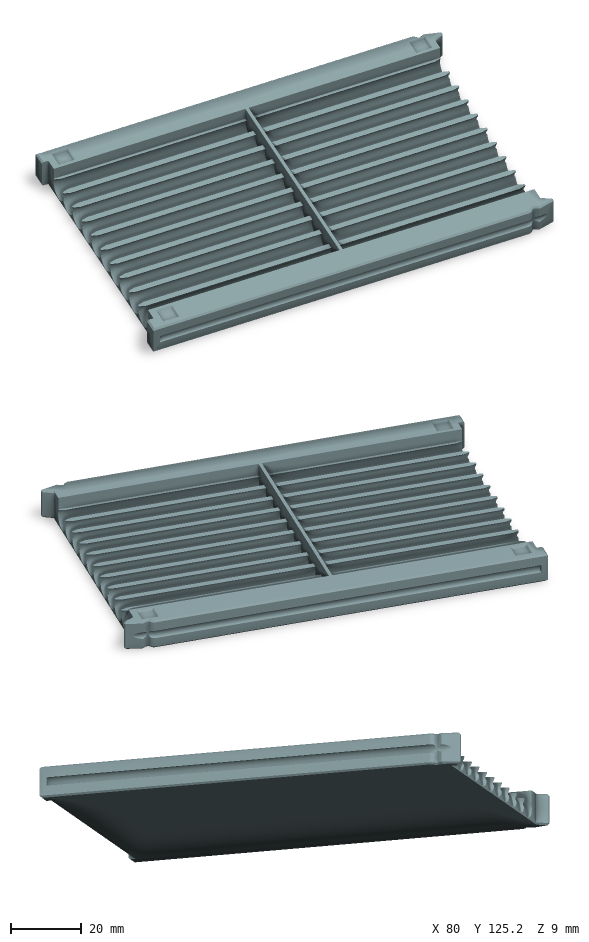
import cadquery as cq
import math

width = 80.0
plate_length = 120.0
height = 9.0
half_width = width / 2
half_height = height / 2

trough_count = 10
trough_pitch = 6.4
trough_radius = 2.8
flare_radius = 3.3
flare_length = 2.0
trough_axis_z = 3.6
ridge_top_z = 5.2
bed_width = trough_count * trough_pitch
divider_thickness = 1.0

lug_length = 2.0
lug_inner_x = 35.7
tip_length = 3.22
tip_outer_x = 38.2
tip_inner_x = 37.2
tip_base_x = 35.5
tip_round = 0.55
barb_x = 39.5
barb_y = 118.2
notch_x = 38.6
notch_y = 116.3
notch_round = 0.5
shoulder_y = 114.6
edge_chamfer = 0.5

groove_radius = 1.2

pocket_size = 5.0
pocket_depth = 0.5
pocket_floor_size = 4.0
pocket_x = 35.5
pocket_end_distance = 4.5


def make_rail():
    """Right-hand rail: lug in front, barbed snap tip behind, chamfered outer edges."""
    bed_edge = bed_width / 2
    tip_y = plate_length + tip_length
    notch_depth = half_width - notch_x
    notch_rise = notch_y - shoulder_y
    shoulder_radius = (notch_depth**2 + notch_rise**2) / (2 * notch_depth)
    sweep_mid = math.asin(notch_rise / shoulder_radius) / 2
    arc_mid = (
        half_width - shoulder_radius * (1 - math.cos(sweep_mid)),
        shoulder_y + shoulder_radius * math.sin(sweep_mid),
    )
    rail = (
        cq.Workplane("XY")
        .moveTo(bed_edge, 0)
        .lineTo(lug_inner_x, 0)
        .lineTo(lug_inner_x, -lug_length)
        .lineTo(half_width, -lug_length)
        .lineTo(half_width, shoulder_y)
        .threePointArc(arc_mid, (notch_x, notch_y))
        .lineTo(barb_x, barb_y)
        .lineTo(tip_outer_x, tip_y)
        .lineTo(tip_inner_x, tip_y)
        .lineTo(tip_base_x, plate_length)
        .lineTo(bed_edge, plate_length)
        .close()
        .extrude(height)
    )
    notch_corner = cq.selectors.NearestToPointSelector((notch_x, notch_y, half_height))
    rail = rail.edges("|Z").edges(notch_corner).fillet(notch_round)
    for tip_x in (tip_outer_x, tip_inner_x):
        tip_corner = cq.selectors.NearestToPointSelector((tip_x, tip_y, half_height))
        rail = rail.edges("|Z").edges(tip_corner).fillet(tip_round)
    outer_edges = cq.selectors.BoxSelector(
        (lug_inner_x + edge_chamfer / 2, -height, -height),
        (width, plate_length + height, 2 * height),
    )
    rail = rail.faces("<Z or >Z").edges(outer_edges).chamfer(edge_chamfer)
    groove = (
        cq.Workplane("XZ")
        .center(half_width, half_height)
        .circle(groove_radius)
        .extrude(-tip_y)
    )
    return rail.cut(groove)


def make_trough(center_x):
    """Cutter for one trough: a round bore flared at both ends."""
    half_profile = (
        cq.Workplane("XY")
        .moveTo(center_x, 0)
        .lineTo(center_x + flare_radius, 0)
        .lineTo(center_x + trough_radius, flare_length)
        .lineTo(center_x + trough_radius, plate_length - flare_length)
        .lineTo(center_x + flare_radius, plate_length)
        .lineTo(center_x, plate_length)
        .close()
    )
    bore = half_profile.revolve(360, (center_x, 0, 0), (center_x, 1, 0))
    return bore.translate((0, 0, trough_axis_z))


def make_bed():
    """Solid plate between the rails, up to the ridge height."""
    return cq.Workplane("XY").box(bed_width, plate_length, ridge_top_z, centered=(True, False, False))


def make_divider():
    """Full-height wall across the middle of the troughs."""
    divider = cq.Workplane("XY").box(bed_width, divider_thickness, height, centered=(True, True, False))
    return divider.translate((0, plate_length / 2, 0))


def make_pocket(x, y):
    """Cutter for a shallow square pocket whose walls narrow towards the floor."""
    return (
        cq.Workplane("XY", origin=(x, y, height))
        .rect(pocket_size, pocket_size)
        .workplane(offset=-pocket_depth)
        .rect(pocket_floor_size, pocket_floor_size)
        .loft()
    )


right_rail = make_rail()
left_rail = right_rail.mirror("YZ")
result = make_bed().union(right_rail).union(left_rail)

first_trough_x = -trough_pitch * (trough_count - 1) / 2
for trough_index in range(trough_count):
    result = result.cut(make_trough(first_trough_x + trough_index * trough_pitch))
result = result.union(make_divider())

pocket_places = [
    (-pocket_x, pocket_end_distance),
    (pocket_x, pocket_end_distance),
    (-pocket_x, plate_length - pocket_end_distance),
]
for place_x, place_y in pocket_places:
    result = result.cut(make_pocket(place_x, place_y))